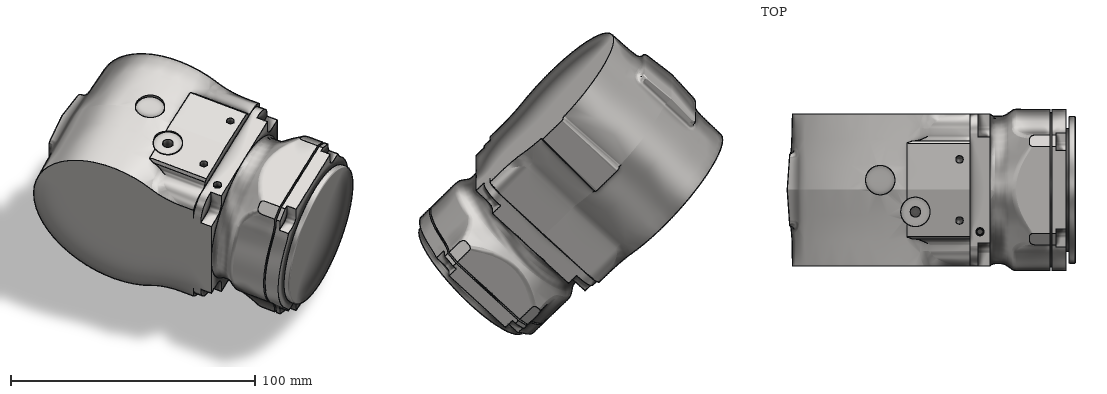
import cadquery as cq
import math


HALF_WIDTH = 31.2
DRUM_RADIUS = 37.0
DRAFT_ANGLE = 2.0
DRAFT_SLOPE = math.tan(math.radians(DRAFT_ANGLE))

BRIDGE_HEIGHT = 32.1
BRIDGE_FLAT_HALF_WIDTH = 25.0
BRIDGE_SIDE_HEIGHT = 28.0
BRIDGE_BLEND_RADIUS = 9.8

PLATE_START = 36.7
PLATE_END = 44.8
PLATE_CORNER_RADIUS = 8.1
PLATE_POCKET_START = 40.1
PLATE_POCKET_EDGE = 21.7
PLATE_POCKET_FILLET = 4.2

PAD_START = 11.0
PAD_HEIGHT = 35.6
PAD_HALF_WIDTH = 19.0
PAD_BEVEL = 1.1
PAD_BEVEL_DROP = 0.2
PAD_FOOT_HALF_WIDTH = 22.8

SPOT_RADIUS = 6.0
DRUM_SPOT_CENTER = (0.0, 4.0)
DRUM_SPOT_FLOOR = 35.4
PAD_SPOT_CENTER = (14.4, -9.0)
PAD_SPOT_FLOOR = 34.8
SPOT_HOLE_RADIUS = 2.1
SCREW_HOLE_RADIUS = 1.5
DRILL_POINT_ANGLE = math.radians(118)
SCREW_HOLE_CENTERS = [(32.5, 12.5), (32.5, -12.5)]
PLATE_HOLE_CENTER = (40.8, -17.1)
PLATE_HOLE_RADIUS = 1.2
PLATE_HOLE_MOUTH_RADIUS = 1.7
PLATE_HOLE_MOUTH_DEPTH = 3.0
HOLE_DEPTH = 5.9

COVER_REACH = 38.1
COVER_HALF_HEIGHT = 15.1
COVER_HALF_WIDTH = 14.9
COVER_DRAFT_ANGLE = 4.0
COVER_CORNER_FILLET = 2.4
COVER_RIM_FILLET = 0.7
COVER_FOOT_FILLET = 2.6

FOOT_DEPTH = 39.0
FOOT_HALF_LENGTH = 7.2
FOOT_FILLET = 1.8
FOOT_CREASE_FILLET = 1.2

NECK_RADIUS = 30.2
NECK_START = 47.1
NECK_END = 49.0
FLARE_ANGLE = math.radians(35)
FLARE_BLEND_RADIUS = 5.4
BARREL_RADIUS = 33.0
BARREL_END = 69.5
RIM_FILLET = 3.0
RIM_ZONE_END = 60.2
LUG_HALF_WIDTH = 17.8
LUG_SHOULDER = (22.5, 30.2)
LUG_ROOT_HEIGHT = 20.6

GAP_WIDTH = 0.7
SPIGOT_RADIUS = 31.6
FLANGE_END = 76.1
FLANGE_POCKET_START = 72.0
FLANGE_POCKET_SIDE = 16.0
FLANGE_POCKET_FLOOR = 25.3
FLANGE_POCKET_FILLET = 3.4
COLLAR_RADIUS = 25.3
DISC_START = 77.2
DISC_END = 79.9
DISC_RADIUS = 30.1
DISC_RIM_FILLET = 0.6

INSIDE = 23.6
CLEARANCE = 1.2


def cross_section(x):
    """Workplane across the X axis at x, with local axes Y and Z."""
    return cq.Workplane("YZ", origin=(x, 0, 0))


def half_drafted(outline, half_width):
    """Extrude an XZ outline from Y = 0 towards +Y, shrinking with the draft."""
    return outline.extrude(-half_width, taper=DRAFT_ANGLE)


def both_sides(half):
    """Join a half that lies at positive Y to its mirror image."""
    return half.union(half.mirror("XZ"))


def drafted_height(height, y):
    """Height at distance y from mid-width of a face that has this height at Y = 0."""
    return height - DRAFT_SLOPE * y


def bridge_quarter():
    """Quarter of the bridge at +Y and +Z, with a rounded shoulder tangent to its top face."""
    flat_end = (BRIDGE_FLAT_HALF_WIDTH, drafted_height(BRIDGE_HEIGHT, BRIDGE_FLAT_HALF_WIDTH))
    return (
        cross_section(0)
        .lineTo(0, BRIDGE_HEIGHT)
        .lineTo(*flat_end)
        .tangentArcPoint((HALF_WIDTH, BRIDGE_SIDE_HEIGHT), relative=False)
        .lineTo(HALF_WIDTH, 0)
        .close()
        .extrude(PLATE_START)
    )


def blended_half():
    """The +Y half of drum and bridge, with a rounded blend where the bridge leaves the drum."""
    upper_room = cq.Workplane("XY").box(
        4 * DRUM_RADIUS, HALF_WIDTH, DRUM_RADIUS, centered=(True, False, False)
    )
    drum_half = half_drafted(cq.Workplane("XZ").circle(DRUM_RADIUS), HALF_WIDTH)
    quarter = drum_half.intersect(upper_room).union(bridge_quarter())
    side_radius = drafted_height(DRUM_RADIUS, HALF_WIDTH)
    crease_start = math.sqrt(DRUM_RADIUS**2 - BRIDGE_HEIGHT**2)
    crease_end = math.sqrt(side_radius**2 - BRIDGE_SIDE_HEIGHT**2)
    crease_zone = cq.selectors.BoxSelector(
        (crease_start - CLEARANCE, CLEARANCE, BRIDGE_SIDE_HEIGHT),
        (crease_end, HALF_WIDTH - CLEARANCE, BRIDGE_HEIGHT),
    )
    quarter = quarter.edges(crease_zone).fillet(BRIDGE_BLEND_RADIUS)
    return quarter.union(quarter.mirror("XY"))


def head():
    """Drum and bridge with the cover pad on the back and the foot under the +Y half."""
    half = blended_half().union(cover_half())
    cover_side_radius = drafted_height(DRUM_RADIUS, COVER_HALF_WIDTH)
    cover_crease = cq.selectors.NearestToPointSelector((-cover_side_radius, COVER_HALF_WIDTH, 0))
    half = half.edges(cover_crease).fillet(COVER_FOOT_FILLET)

    footed_half = half.union(foot())
    side_radius = drafted_height(DRUM_RADIUS, HALF_WIDTH)
    foot_crease = cq.selectors.BoxSelector(
        (-FOOT_HALF_LENGTH, CLEARANCE, -DRUM_RADIUS),
        (FOOT_HALF_LENGTH, HALF_WIDTH - CLEARANCE, CLEARANCE - side_radius),
    )
    footed_half = footed_half.edges(foot_crease).fillet(FOOT_CREASE_FILLET)
    return footed_half.union(half.mirror("XZ"))


def cover_half():
    """The +Y half of the rounded pad on the back of the drum."""
    depth = COVER_REACH - INSIDE
    outline = cq.Workplane("XZ").center(-INSIDE - depth / 2, 0).rect(depth, 2 * COVER_HALF_HEIGHT)
    half = outline.extrude(-COVER_HALF_WIDTH, taper=COVER_DRAFT_ANGLE)
    half = half.faces(">Y").edges(">Z or <Z").fillet(COVER_CORNER_FILLET)
    return half.faces("<X").edges("not <Y").fillet(COVER_RIM_FILLET)


def foot():
    """Foot under the +Y half of the drum."""
    height = FOOT_DEPTH - INSIDE
    outline = cq.Workplane("XZ").placeSketch(
        cq.Sketch()
        .push([(0, -INSIDE - height / 2)])
        .rect(2 * FOOT_HALF_LENGTH, height)
        .reset()
        .vertices("<Y")
        .fillet(FOOT_FILLET)
    )
    return half_drafted(outline, HALF_WIDTH)


def mounting_pad():
    """Raised pad with a bevelled rim and concave flanks."""
    edge = (PAD_HALF_WIDTH, drafted_height(PAD_HEIGHT, PAD_HALF_WIDTH))
    rim = (edge[0] + PAD_BEVEL, edge[1] - PAD_BEVEL)
    flank_foot = (PAD_FOOT_HALF_WIDTH, drafted_height(BRIDGE_HEIGHT, PAD_FOOT_HALF_WIDTH))
    half = (
        cross_section(PAD_START)
        .moveTo(0, INSIDE)
        .lineTo(0, PAD_HEIGHT)
        .lineTo(*edge)
        .lineTo(*rim)
        .threePointArc(flank_middle(rim, flank_foot), flank_foot)
        .lineTo(PAD_FOOT_HALF_WIDTH, INSIDE)
        .close()
        .extrude(PLATE_START - PAD_START)
    )
    half = half.faces("<X").edges(">Z").chamfer(PAD_BEVEL, PAD_BEVEL_DROP)
    return both_sides(half)


def flank_middle(rim, flank_foot):
    """Middle point of the concave flank arc, which starts steep at the rim and ends level."""
    diagonal = math.sqrt(0.5)
    return (
        flank_foot[0] - (flank_foot[0] - rim[0]) * diagonal,
        flank_foot[1] + (rim[1] - flank_foot[1]) * (1 - diagonal),
    )


def corner_pockets(start, end, inner_y, inner_z, fillet):
    """Four corner cutters from inner_y and inner_z outwards, each with one rounded inner corner."""
    reach = 2 * BARREL_RADIUS
    quarter = (
        cross_section(start)
        .moveTo(inner_y, reach)
        .lineTo(inner_y, inner_z + fillet)
        .radiusArc((inner_y + fillet, inner_z), -fillet)
        .lineTo(reach, inner_z)
        .lineTo(reach, reach)
        .close()
        .extrude(end - start)
    )
    half = both_sides(quarter)
    return half.union(half.mirror("XY"))


def bolted_plate():
    """Square plate with rounded corners and a bolt pocket behind each corner."""
    square = cross_section(PLATE_START).rect(2 * HALF_WIDTH, 2 * HALF_WIDTH)
    plate = square.extrude(PLATE_END - PLATE_START)
    plate = plate.edges("|X").fillet(PLATE_CORNER_RADIUS)
    pockets = corner_pockets(
        PLATE_POCKET_START, PLATE_END, PLATE_POCKET_EDGE, PLATE_POCKET_EDGE, PLATE_POCKET_FILLET
    )
    return plate.cut(pockets)


def top_bore(center, floor, radius):
    """Vertical cutter that removes everything above the floor."""
    return cq.Workplane("XY", origin=(*center, floor)).circle(radius).extrude(DRUM_RADIUS)


def drill_point(center, top):
    """Conical bottom of a screw hole, pointing down from the given height."""
    depth = SCREW_HOLE_RADIUS / math.tan(DRILL_POINT_ANGLE / 2)
    cone = cq.Solid.makeCone(
        SCREW_HOLE_RADIUS, 0, depth, pnt=cq.Vector(*center, top), dir=cq.Vector(0, 0, -1)
    )
    return cq.Workplane(obj=cone)


def top_bores():
    """Every recess and hole that opens upwards."""
    drum_spot = top_bore(DRUM_SPOT_CENTER, DRUM_SPOT_FLOOR, SPOT_RADIUS)
    pad_spot = top_bore(PAD_SPOT_CENTER, PAD_SPOT_FLOOR, SPOT_RADIUS)
    spot_hole = top_bore(PAD_SPOT_CENTER, PAD_SPOT_FLOOR - HOLE_DEPTH, SPOT_HOLE_RADIUS)
    plate_hole = top_bore(PLATE_HOLE_CENTER, HALF_WIDTH - HOLE_DEPTH, PLATE_HOLE_RADIUS)
    plate_mouth = top_bore(
        PLATE_HOLE_CENTER, HALF_WIDTH - PLATE_HOLE_MOUTH_DEPTH, PLATE_HOLE_MOUTH_RADIUS
    )
    bores = drum_spot.union(pad_spot).union(spot_hole).union(plate_hole).union(plate_mouth)
    for center in SCREW_HOLE_CENTERS:
        bores = bores.union(top_bore(center, PAD_HEIGHT - HOLE_DEPTH, SCREW_HOLE_RADIUS))
        bores = bores.union(drill_point(center, PAD_HEIGHT - HOLE_DEPTH))
    return bores


def lugged_section(start, end):
    """Round barrel with a wide flat lug above and below, each on concave flanks."""
    root_angle = math.asin(LUG_ROOT_HEIGHT / BARREL_RADIUS)
    root = (BARREL_RADIUS * math.cos(root_angle), LUG_ROOT_HEIGHT)
    arc_middle = (
        BARREL_RADIUS * math.cos(root_angle / 2),
        BARREL_RADIUS * math.sin(root_angle / 2),
    )
    quarter = (
        cross_section(start)
        .lineTo(BARREL_RADIUS, 0)
        .threePointArc(arc_middle, root)
        .tangentArcPoint(LUG_SHOULDER, relative=False)
        .lineTo(LUG_HALF_WIDTH, BARREL_RADIUS)
        .lineTo(0, BARREL_RADIUS)
        .close()
        .extrude(end - start)
    )
    half = both_sides(quarter)
    return half.union(half.mirror("XY"))


def wrist():
    """Neck that flares as a cone into the lugged barrel."""
    blend_end = (
        NECK_END + FLARE_BLEND_RADIUS * math.sin(FLARE_ANGLE),
        NECK_RADIUS + FLARE_BLEND_RADIUS * (1 - math.cos(FLARE_ANGLE)),
    )
    blend_middle = (
        NECK_END + FLARE_BLEND_RADIUS * math.sin(FLARE_ANGLE / 2),
        NECK_RADIUS + FLARE_BLEND_RADIUS * (1 - math.cos(FLARE_ANGLE / 2)),
    )
    cone_end_radius = blend_end[1] + (BARREL_END - blend_end[0]) * math.tan(FLARE_ANGLE)
    flare = (
        cq.Workplane("XY")
        .moveTo(NECK_END, 0)
        .lineTo(NECK_END, NECK_RADIUS)
        .threePointArc(blend_middle, blend_end)
        .lineTo(BARREL_END, cone_end_radius)
        .lineTo(BARREL_END, 0)
        .close()
        .revolve(360, (0, 0, 0), (1, 0, 0))
    )
    barrel = lugged_section(NECK_END, BARREL_END).intersect(flare)
    neck = (
        cq.Workplane("XY")
        .moveTo(NECK_END, 0)
        .lineTo(NECK_END, NECK_RADIUS)
        .lineTo(NECK_START, NECK_RADIUS)
        .tangentArcPoint((PLATE_END, HALF_WIDTH), relative=False)
        .lineTo(PLATE_END, 0)
        .close()
        .revolve(360, (0, 0, 0), (1, 0, 0))
    )
    return rounded_barrel_rim(barrel).union(neck)


def rounded_barrel_rim(barrel):
    """Round the rim where the cone meets the barrel and its flanks and flats."""
    rim_zone = cq.selectors.BoxSelector(
        (NECK_END + FLARE_BLEND_RADIUS, -BARREL_RADIUS - CLEARANCE, -BARREL_RADIUS - CLEARANCE),
        (RIM_ZONE_END, BARREL_RADIUS + CLEARANCE, BARREL_RADIUS + CLEARANCE),
    )
    return barrel.edges(rim_zone).fillet(RIM_FILLET)


def base_body():
    """Head, bolted plate and wrist as one solid."""
    body = head().union(mounting_pad()).union(bolted_plate()).union(wrist())
    return body.cut(top_bores())


def output_flange():
    """Lugged flange on a spigot that leaves the gap, with a collar and an end disc."""
    plate_start = BARREL_END + GAP_WIDTH
    pockets = corner_pockets(
        FLANGE_POCKET_START, FLANGE_END, FLANGE_POCKET_SIDE, FLANGE_POCKET_FLOOR, FLANGE_POCKET_FILLET
    )
    plate = lugged_section(plate_start, FLANGE_END).cut(pockets)
    spigot = cross_section(BARREL_END).circle(SPIGOT_RADIUS).extrude(GAP_WIDTH)
    collar = cross_section(FLANGE_END).circle(COLLAR_RADIUS).extrude(DISC_START - FLANGE_END)
    disc = cross_section(DISC_START).circle(DISC_RADIUS).extrude(DISC_END - DISC_START)
    disc = disc.edges().fillet(DISC_RIM_FILLET)
    return spigot.union(plate).union(collar).union(disc)


base = base_body()
flange = output_flange()
result = cq.Compound.makeCompound([base.solids().val(), flange.solids().val()])